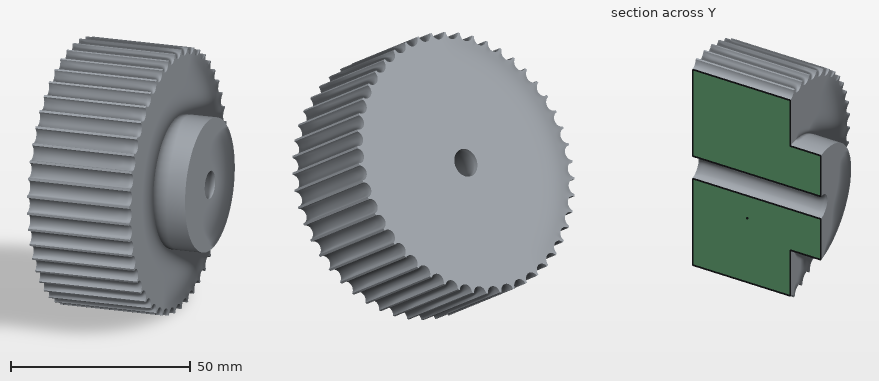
import cadquery as cq
import math

total_length = 40.0
rim_width = 30.5
hub_diameter = 38.0
bore_diameter = 8.0

tooth_count = 48
belt_pitch = 5.0
pitch_line_offset = 0.57
groove_depth = 2.06
groove_half_width = 2.125

tip_radius = tooth_count * belt_pitch / (2 * math.pi) - pitch_line_offset
pitch_angle = 2 * math.pi / tooth_count
groove_half_angle = math.asin(groove_half_width / tip_radius)
root_radius = tip_radius - groove_depth


def polar(radius, angle):
    """Point in the YZ plane at an angle measured from +Y."""
    return (radius * math.cos(angle), radius * math.sin(angle))


def make_rim():
    """Toothed disc: each pitch has one groove arc and one tooth tip arc."""
    outline = cq.Workplane("YZ").moveTo(*polar(tip_radius, -groove_half_angle))
    for index in range(tooth_count):
        groove_angle = index * pitch_angle
        groove_bottom = polar(root_radius, groove_angle)
        tip_start = polar(tip_radius, groove_angle + groove_half_angle)
        tip_middle = polar(tip_radius, groove_angle + pitch_angle / 2)
        tip_end = polar(tip_radius, groove_angle + pitch_angle - groove_half_angle)
        outline = outline.threePointArc(groove_bottom, tip_start)
        outline = outline.threePointArc(tip_middle, tip_end)
    return outline.close().extrude(rim_width)


def make_hub():
    """Plain cylinder on the +X face of the rim."""
    hub_length = total_length - rim_width
    return cq.Workplane("YZ", origin=(rim_width, 0, 0)).circle(hub_diameter / 2).extrude(hub_length)


def make_bore():
    """Through hole along the whole length."""
    return cq.Workplane("YZ").circle(bore_diameter / 2).extrude(total_length)


result = make_rim().union(make_hub()).cut(make_bore())